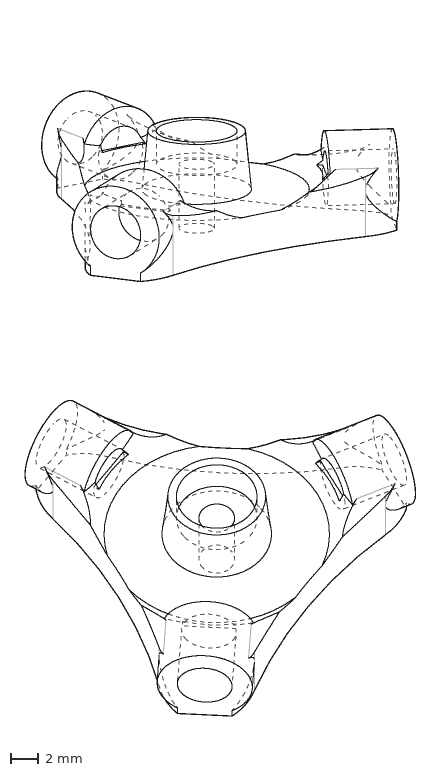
import cadquery as cq
import math

arm_count = 3
arm_reach = 14.5
tube_inner_reach = 9.47
tube_radius = 3.5
tube_axis_height = 3.52
bore_diameter = 4.0

plate_height = 3.98
waist = 8.0
corner_reach = 12.05
corner_half_width = 3.5
foot_mid_reach = 13.33
foot_mid_half_width = 2.95
foot_half_width = 2.0
shoulder_fillet = 2.0

deck_height = 2.97
deck_radius = 8.25
recess_rise = 5.72
boss_height = 7.4
boss_base_radius = 4.0
boss_top_radius = 3.58
socket_diameter = 5.9
socket_depth = 2.55
center_hole_diameter = 2.6

arm_step = 360 / arm_count
arm_angles = [i * arm_step for i in range(arm_count)]


def turned(x, y, degrees):
    """Rotate a point about the part centre."""
    a = math.radians(degrees)
    return (x * math.cos(a) - y * math.sin(a), x * math.sin(a) + y * math.cos(a))


def on_each_arm(shape):
    """Copies of a shape made for the -Y arm, one for every arm."""
    return [shape.rotate((0, 0, 0), (0, 0, 1), angle) for angle in arm_angles]


def outline_prism(height):
    """Three-armed outline: square arm ends, rounded feet and hollow sides."""
    outline = cq.Workplane("XY").moveTo(-foot_half_width, -arm_reach)
    for angle in arm_angles:
        outline = (
            outline.lineTo(*turned(foot_half_width, -arm_reach, angle))
            .threePointArc(
                turned(foot_mid_half_width, -foot_mid_reach, angle),
                turned(corner_half_width, -corner_reach, angle),
            )
            .threePointArc(
                turned(0, -waist, angle + arm_step / 2),
                turned(-corner_half_width, -corner_reach, angle + arm_step),
            )
            .threePointArc(
                turned(-foot_mid_half_width, -foot_mid_reach, angle + arm_step),
                turned(-foot_half_width, -arm_reach, angle + arm_step),
            )
        )
    return outline.close().extrude(height)


def arm_cylinder(radius, start_reach, end_reach):
    """Cylinder on the axis of the -Y arm."""
    return (
        cq.Workplane("XZ", origin=(0, -start_reach, tube_axis_height))
        .circle(radius)
        .extrude(end_reach - start_reach)
    )


def shoulder():
    """Bar along the -Y arm whose flanks blend the tube into the plate top."""
    blend_z = plate_height + shoulder_fillet
    slope = math.asin((blend_z - tube_axis_height) / (tube_radius + shoulder_fillet))
    blend_x = (tube_radius + shoulder_fillet) * math.cos(slope)
    contact_x = tube_radius * math.cos(slope)
    contact_z = tube_axis_height + tube_radius * math.sin(slope)
    mid_angle = (slope + math.pi / 2) / 2
    mid_x = blend_x - shoulder_fillet * math.cos(mid_angle)
    mid_z = blend_z - shoulder_fillet * math.sin(mid_angle)
    return (
        cq.Workplane("XZ")
        .moveTo(-contact_x, contact_z)
        .lineTo(contact_x, contact_z)
        .threePointArc((mid_x, mid_z), (blend_x, plate_height))
        .lineTo(blend_x, 0)
        .lineTo(-blend_x, 0)
        .lineTo(-blend_x, plate_height)
        .threePointArc((-mid_x, mid_z), (-contact_x, contact_z))
        .close()
        .extrude(arm_reach)
    )


body = outline_prism(plate_height)
envelope = outline_prism(boss_height)
for bar in on_each_arm(shoulder()):
    body = body.union(bar.intersect(envelope))

recess = (
    cq.Workplane("XY", origin=(0, 0, deck_height))
    .circle(deck_radius)
    .extrude(recess_rise, taper=-45)
)
body = body.cut(recess)

for tube in on_each_arm(arm_cylinder(tube_radius, tube_inner_reach, arm_reach)):
    body = body.union(tube)
bore_radius = bore_diameter / 2
for bore in on_each_arm(arm_cylinder(bore_radius, tube_inner_reach, arm_reach)):
    body = body.cut(bore)

above_plate = cq.Workplane("XY", origin=(0, 0, plate_height)).rect(
    2 * arm_reach, 2 * arm_reach
).extrude(boss_height)
bore_mouth = arm_cylinder(bore_radius, deck_radius, tube_inner_reach).intersect(above_plate)
for mouth in on_each_arm(bore_mouth):
    body = body.cut(mouth)

boss = (
    cq.Workplane("XY", origin=(0, 0, deck_height))
    .circle(boss_base_radius)
    .workplane(offset=boss_height - deck_height)
    .circle(boss_top_radius)
    .loft()
)
socket = (
    cq.Workplane("XY", origin=(0, 0, boss_height - socket_depth))
    .circle(socket_diameter / 2)
    .extrude(socket_depth)
)
center_hole = cq.Workplane("XY").circle(center_hole_diameter / 2).extrude(boss_height)

result = body.union(boss).cut(socket).cut(center_hole)